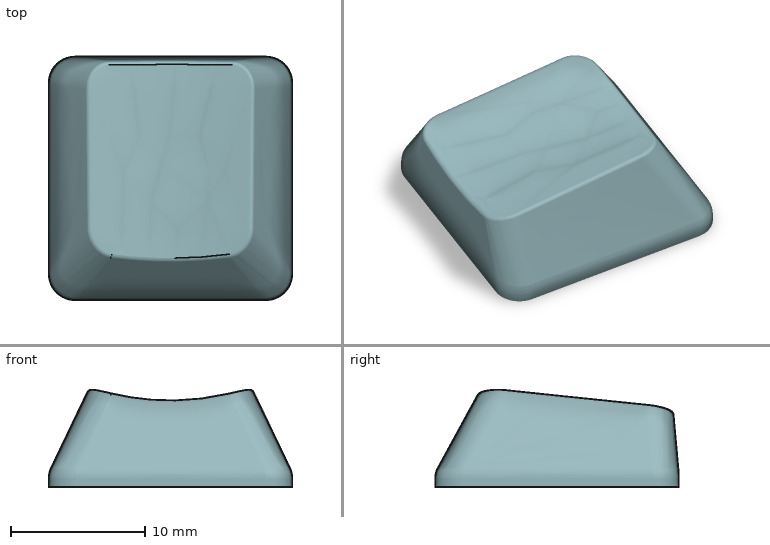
import cadquery as cq
import math

base_size = 18.16
half_base = base_size / 2
base_corner_radius = 2.0
top_corner_radius = 1.9
skirt_height = 0.67
bend_top_height = 1.38
bend_sections = 4

side_lean = 25.6
front_lean = 28.6
back_lean = 5.1

dish_reach = 10.9
dish_front_radius = 16.16
dish_back_radius = 23.43
dish_front_floor = 6.92
dish_back_floor = 4.92
rim_radius = 0.27

top_tilt = 6.0
blank_height = 7.63
blank_top_width = 11.51


def wall_inset(lean, height):
    """Inward offset of a wall: a circular bend that runs on into a flat slope."""
    angle = math.radians(lean)
    bend_rise = min(height, bend_top_height) - skirt_height
    bend_radius = (bend_top_height - skirt_height) / math.sin(angle)
    slope_rise = max(height - bend_top_height, 0)
    bend_inset = bend_radius - math.sqrt(bend_radius**2 - bend_rise**2)
    return bend_inset + slope_rise * math.tan(angle)


def wall_section(height, corner_radius):
    """Rounded rectangle enclosed by the four walls at one height."""
    half_width = half_base - wall_inset(side_lean, height)
    front = -half_base + wall_inset(front_lean, height)
    back = half_base - wall_inset(back_lean, height)
    section = cq.Sketch().rect(2 * half_width, back - front).vertices().fillet(corner_radius)
    return section.moved(cq.Location(cq.Vector(0, (front + back) / 2, height)))


def sloping_top_section():
    """Rounded rectangle where the sloping end plane meets the front and back walls."""
    tilt = math.radians(top_tilt)
    front_level = -half_base + wall_inset(front_lean, blank_height)
    back_level = half_base - wall_inset(back_lean, blank_height)
    front = front_level / (1 + math.tan(math.radians(front_lean)) * math.tan(tilt))
    back = back_level / (1 - math.tan(math.radians(back_lean)) * math.tan(tilt))
    depth = (back - front) / math.cos(tilt)
    center_y = (front + back) / 2
    center = cq.Vector(0, center_y, blank_height - center_y * math.tan(tilt))
    section = cq.Sketch().rect(blank_top_width, depth).vertices().fillet(top_corner_radius)
    return section.moved(cq.Location(center, cq.Vector(1, 0, 0), -top_tilt))


def make_blank():
    """Skirt, rounded bend and leaning walls stacked into one solid."""
    step = (bend_top_height - skirt_height) / (bend_sections - 1)
    levels = [
        wall_section(skirt_height + i * step, base_corner_radius)
        for i in range(bend_sections)
    ]
    skirt = cq.Workplane("XY").placeSketch(wall_section(skirt_height, base_corner_radius))
    skirt = skirt.extrude(-skirt_height)
    bend = cq.Workplane("XY").placeSketch(*levels).loft()
    walls = cq.Workplane("XY").placeSketch(levels[-1], sloping_top_section()).loft(ruled=True)
    return skirt.union(bend).union(walls)


def dish_circle(y, radius, floor_height):
    """Upright circle whose lowest point rests on the dish floor."""
    center = cq.Vector(0, y, floor_height + radius)
    return cq.Wire.makeCircle(radius, center, cq.Vector(0, 1, 0))


def make_dish_cutter():
    front = dish_circle(-dish_reach, dish_front_radius, dish_front_floor)
    back = dish_circle(dish_reach, dish_back_radius, dish_back_floor)
    return cq.Workplane(cq.Solid.makeLoft([front, back], True))


body = make_blank().cut(make_dish_cutter())
result = body.faces(">Z").edges().fillet(rim_radius)